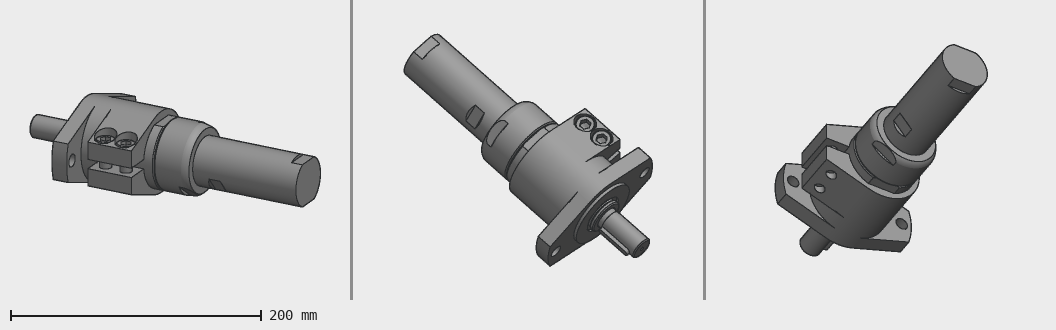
import cadquery as cq
import math


SHAFT_D = 19.0
SHAFT_CHAMFER = 1.0
SHAFT_RELIEF_START = 36.0
SHAFT_RELIEF_D = 18.8
CENTRE_HOLE_D = 1.6
CENTRE_HOLE_DEPTH = 4.0
CENTRE_SINK_D = 3.35
CENTRE_SINK_ANGLE = 60.0

KEY_START = 4.5
KEY_LENGTH = 32.0
KEY_WIDTH = 6.0
KEY_TOP = 12.3

COLLAR_START = 40.0
COLLAR_LENGTH = 4.2
COLLAR_D = 29.95
COLLAR_BORE = 20.0
COLLAR_BORE_DEPTH = 2.0
COLLAR_CHAMFER = 1.0
COLLAR_NECK_D = COLLAR_D - 2 * COLLAR_CHAMFER

PILOT_START = 44.2
PILOT_D = 60.0
PILOT_RECESS_D = 35.0
PILOT_RECESS_DEPTH = 2.0

FLANGE_START = 47.0
FLANGE_THICKNESS = 13.5
FLANGE_SPAN = 118.0
BODY_D = 70.0

SLOPE = math.radians(20.0)
TANGENT_Y = BODY_D / 2 * math.sin(SLOPE)
TANGENT_Z = BODY_D / 2 * math.cos(SLOPE)

BOLT_SPACING = 100.0
BOLT_HOLE_D = 10.5

CLAMP_START = 75.0
CLAMP_LENGTH = 39.5
CLAMP_END = CLAMP_START + CLAMP_LENGTH
CLAMP_REACH = 50.4
CLAMP_GAP = 8.0

SCREW_Y = -40.0
SCREW_PITCH = 18.5
SCREW_XS = [CLAMP_START + CLAMP_LENGTH / 2 + side * SCREW_PITCH / 2 for side in (-1, 1)]
SCREW_D = 10.0
HEAD_D = 16.0
HEAD_HEIGHT = 10.0
HEAD_CHAMFER = 0.8
HEAD_SEAT_Z = 10.0
COUNTERBORE_D = 18.0
SOCKET_AF = 8.0
SOCKET_DEPTH = 5.0
SOCKET_TIP = 2.5
TAP_HOLE_D = 8.38
SCREW_TIP_Z = -17.0

NECK_D = 60.0
NECK_AF = 55.0
NECK_END = 123.3
NECK_CHAMFER = 0.9

NUT_D = 60.0
NUT_START = 123.7
NUT_END = 154.0
NUT_EDGE_CHAMFER = 1.0
NUT_CROWN_LENGTH = 5.5
NUT_CROWN_DROP = 3.0
NUT_CROWN_BULGE = 0.55
NUT_AF = 55.0
NUT_FLAT_START = 144.5
NUT_FLAT_ANGLE = 54.0

TUBE_D = 41.5
TUBE_END = 247.5
END_FLAT_AF = 36.5
END_FLAT_LENGTH = 9.7
GRIP_AF = 38.0
GRIP_CENTRE = 173.5
GRIP_WIDTH = 10.0
GRIP_ANGLE = 40.0


def cylinder(start, end, diameter):
    """Cylinder on the X axis between two x positions."""
    return cq.Workplane("YZ", origin=(start, 0, 0)).circle(diameter / 2).extrude(end - start)


def outside_flats(start, end, across_flats, angle):
    """Material beyond two parallel flats; angle turns their normals from +Y towards +Z."""
    length = end - start
    depth = BODY_D
    cutters = cq.Workplane("XY")
    for side in (-1, 1):
        block = cq.Workplane("XY").box(length, depth, 2 * BODY_D)
        block = block.translate(((start + end) / 2, side * (across_flats + depth) / 2, 0))
        cutters = cutters.add(block)
    return cutters.combine().rotate((0, 0, 0), (1, 0, 0), angle)


def make_shaft():
    tip = cylinder(0, SHAFT_RELIEF_START, SHAFT_D).faces("<X").chamfer(SHAFT_CHAMFER)
    shaft = tip.union(cylinder(SHAFT_RELIEF_START, FLANGE_START, SHAFT_RELIEF_D))
    shaft = shaft.faces("<X").workplane(origin=(0, 0, 0)).cskHole(
        CENTRE_HOLE_D, CENTRE_SINK_D, CENTRE_SINK_ANGLE, CENTRE_HOLE_DEPTH
    )
    key = (
        cq.Workplane("XZ", origin=(KEY_START + KEY_LENGTH / 2, 0, 0))
        .slot2D(KEY_LENGTH, KEY_WIDTH)
        .extrude(-KEY_TOP)
    )
    return shaft.union(key)


def make_collar_and_pilot():
    pilot = cylinder(PILOT_START, FLANGE_START, PILOT_D)
    pilot = pilot.cut(cylinder(PILOT_START, PILOT_START + PILOT_RECESS_DEPTH, PILOT_RECESS_D))
    collar_end = COLLAR_START + COLLAR_LENGTH
    collar = cylinder(COLLAR_START, collar_end, COLLAR_D).faces("<X or >X").chamfer(COLLAR_CHAMFER)
    collar = collar.union(cylinder(collar_end, FLANGE_START, COLLAR_NECK_D))
    collar = collar.cut(cylinder(COLLAR_START, COLLAR_START + COLLAR_BORE_DEPTH, COLLAR_BORE))
    return pilot.union(collar)


def make_flange():
    half_span = FLANGE_SPAN / 2
    corner_angle = math.pi / 2 - SLOPE - math.acos(BODY_D / FLANGE_SPAN)
    corner_y = half_span * math.cos(corner_angle)
    corner_z = half_span * math.sin(corner_angle)
    flange = (
        cq.Workplane("YZ", origin=(FLANGE_START, 0, 0))
        .moveTo(-TANGENT_Y, TANGENT_Z)
        .lineTo(TANGENT_Y, TANGENT_Z)
        .lineTo(corner_y, corner_z)
        .threePointArc((half_span, 0), (corner_y, -corner_z))
        .lineTo(TANGENT_Y, -TANGENT_Z)
        .lineTo(-TANGENT_Y, -TANGENT_Z)
        .lineTo(-corner_y, -corner_z)
        .threePointArc((-half_span, 0), (-corner_y, corner_z))
        .close()
        .extrude(FLANGE_THICKNESS)
    )
    bolt_holes = (
        cq.Workplane("YZ", origin=(FLANGE_START, 0, 0))
        .pushPoints([(-BOLT_SPACING / 2, 0), (BOLT_SPACING / 2, 0)])
        .circle(BOLT_HOLE_D / 2)
        .extrude(FLANGE_THICKNESS)
    )
    return flange.cut(bolt_holes)


def make_clamp_lobes():
    edge_z = (BODY_D / 2 - CLAMP_REACH * math.sin(SLOPE)) / math.cos(SLOPE)
    return (
        cq.Workplane("YZ", origin=(CLAMP_START, 0, 0))
        .moveTo(-TANGENT_Y, TANGENT_Z)
        .lineTo(-CLAMP_REACH, edge_z)
        .lineTo(-CLAMP_REACH, -edge_z)
        .lineTo(-TANGENT_Y, -TANGENT_Z)
        .close()
        .extrude(CLAMP_LENGTH)
    )


def make_clamp_gap():
    """Slot between the lobes, as deep as the housing inside the clamp."""
    gap = cq.Workplane("XY").box(CLAMP_LENGTH, CLAMP_REACH, CLAMP_GAP)
    gap = gap.translate((CLAMP_START + CLAMP_LENGTH / 2, -CLAMP_REACH / 2, 0))
    return gap.cut(cylinder(CLAMP_START, CLAMP_END, NECK_D))


def make_screw(x):
    """Socket head screw standing on its seat in the upper clamp lobe."""
    head_top = HEAD_SEAT_Z + HEAD_HEIGHT
    screw = cq.Workplane("XY", origin=(x, SCREW_Y, HEAD_SEAT_Z)).circle(HEAD_D / 2)
    screw = screw.extrude(HEAD_HEIGHT).faces(">Z").chamfer(HEAD_CHAMFER)
    shank = cq.Workplane("XY", origin=(x, SCREW_Y, SCREW_TIP_Z)).circle(SCREW_D / 2)
    screw = screw.union(shank.extrude(HEAD_SEAT_Z - SCREW_TIP_Z))

    across_corners = SOCKET_AF / math.cos(math.pi / 6)
    full_depth = SOCKET_DEPTH + SOCKET_TIP
    hexagon = cq.Workplane("XY", origin=(x, SCREW_Y, head_top - full_depth))
    hexagon = hexagon.polygon(6, across_corners).extrude(full_depth)
    drill = (
        cq.Workplane("XZ")
        .moveTo(0, head_top - full_depth)
        .lineTo(across_corners / 2, head_top - SOCKET_DEPTH)
        .lineTo(across_corners / 2, head_top)
        .lineTo(0, head_top)
        .close()
        .revolve()
        .translate((x, SCREW_Y, 0))
    )
    return screw.cut(hexagon.intersect(drill))


def fit_screws(part):
    points = [(x, SCREW_Y) for x in SCREW_XS]
    counterbores = cq.Workplane("XY", origin=(0, 0, HEAD_SEAT_Z)).pushPoints(points)
    part = part.cut(counterbores.circle(COUNTERBORE_D / 2).extrude(BODY_D / 2))
    tap_holes = cq.Workplane("XY", origin=(0, 0, SCREW_TIP_Z)).pushPoints(points)
    part = part.cut(tap_holes.circle(TAP_HOLE_D / 2).extrude(-BODY_D / 2))
    for x in SCREW_XS:
        part = part.union(make_screw(x))
    return part


def make_neck():
    neck = cylinder(CLAMP_START, NECK_END, NECK_D).faces(">X").chamfer(NECK_CHAMFER)
    return neck.cut(outside_flats(CLAMP_END, NECK_END, NECK_AF, 90))


def make_nut():
    radius = NUT_D / 2
    groove_radius = radius - NUT_EDGE_CHAMFER
    crown_start = NUT_END - NUT_CROWN_LENGTH
    crown_middle = NUT_END - NUT_CROWN_LENGTH / 2
    crown_middle_radius = radius - NUT_CROWN_DROP / 2 + NUT_CROWN_BULGE
    nut = (
        cq.Workplane("XY")
        .moveTo(NECK_END, 0)
        .lineTo(NECK_END, groove_radius)
        .lineTo(NUT_START, groove_radius)
        .lineTo(NUT_START + NUT_EDGE_CHAMFER, radius)
        .lineTo(crown_start, radius)
        .threePointArc((crown_middle, crown_middle_radius), (NUT_END, radius - NUT_CROWN_DROP))
        .lineTo(NUT_END, 0)
        .close()
        .revolve(360, (0, 0, 0), (1, 0, 0))
    )
    return nut.cut(outside_flats(NUT_FLAT_START, NUT_END, NUT_AF, NUT_FLAT_ANGLE))


def make_tube():
    tube = cylinder(NUT_END, TUBE_END, TUBE_D)
    tube = tube.cut(outside_flats(TUBE_END - END_FLAT_LENGTH, TUBE_END, END_FLAT_AF, 90))
    flat_offset = GRIP_AF / 2
    run_out = TUBE_D / 2
    for side in (-1, 1):
        grip = (
            cq.Workplane("XY", origin=(GRIP_CENTRE, 0, -TUBE_D / 2))
            .moveTo(-GRIP_WIDTH / 2, flat_offset)
            .lineTo(GRIP_WIDTH / 2, flat_offset)
            .lineTo(GRIP_WIDTH / 2 + run_out, flat_offset + run_out)
            .lineTo(-GRIP_WIDTH / 2 - run_out, flat_offset + run_out)
            .close()
            .extrude(TUBE_D)
        )
        turn = GRIP_ANGLE if side == 1 else GRIP_ANGLE + 180
        tube = tube.cut(grip.rotate((0, 0, 0), (1, 0, 0), turn))
    return tube


body = cylinder(FLANGE_START, CLAMP_END, BODY_D).union(make_flange()).union(make_clamp_lobes())
body = fit_screws(body.cut(make_clamp_gap()))
result = body.union(make_collar_and_pilot()).union(make_shaft())
result = result.union(make_neck()).union(make_nut()).union(make_tube())